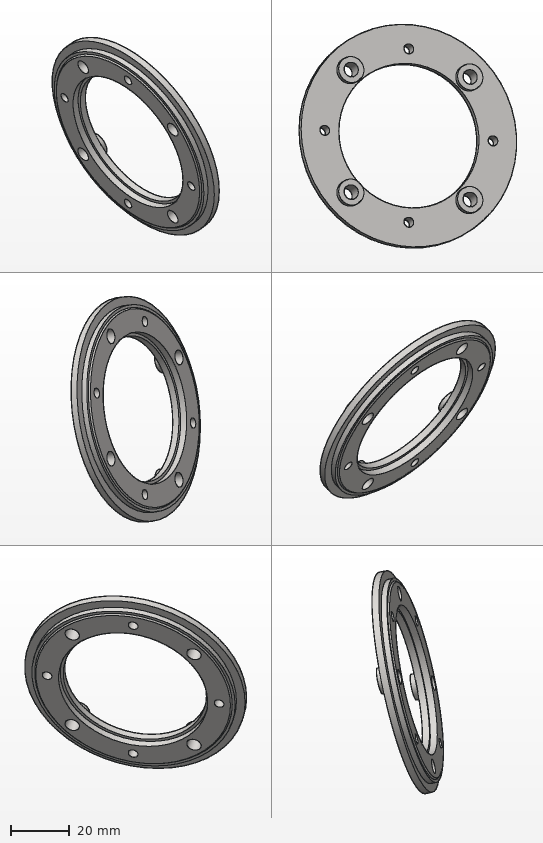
import cadquery as cq

flange_diameter = 77.0
flange_thickness = 2.5
step_diameter = 71.0
step_thickness = 2.0
lip_base_diameter = 69.0
lip_face_diameter = 68.0
lip_thickness = 0.55
bore_diameter = 50.0
recess_diameter = 52.05
recess_depth = 2.5

hole_circle_radius = 30.0
small_hole_diameter = 3.4
boss_hole_diameter = 5.0
boss_diameter = 9.0
boss_height = 2.0
hole_count = 4

step_back_y = -flange_thickness
lip_base_y = step_back_y - step_thickness
front_y = lip_base_y - lip_thickness
total_depth = boss_height - front_y


def ring_body():
    """Stepped ring with a tapered lip and a recessed bore, revolved about Y."""
    profile = [
        (bore_diameter / 2, 0),
        (flange_diameter / 2, 0),
        (flange_diameter / 2, step_back_y),
        (step_diameter / 2, step_back_y),
        (step_diameter / 2, lip_base_y),
        (lip_base_diameter / 2, lip_base_y),
        (lip_face_diameter / 2, front_y),
        (recess_diameter / 2, front_y),
        (recess_diameter / 2, front_y + recess_depth),
        (bore_diameter / 2, front_y + recess_depth),
    ]
    return cq.Workplane("XY").polyline(profile).close().revolve(360, (0, 0, 0), (0, 1, 0))


def cylinders(diameter, start_y, length, start_angle):
    """Equally spaced cylinders on the hole circle, running toward +Y from start_y."""
    return (
        cq.Workplane("XZ", origin=(0, start_y, 0))
        .polarArray(hole_circle_radius, start_angle, 360, hole_count)
        .circle(diameter / 2)
        .extrude(-length)
    )


bosses = cylinders(boss_diameter, step_back_y, flange_thickness + boss_height, 45)
boss_holes = cylinders(boss_hole_diameter, front_y, total_depth, 45)
small_holes = cylinders(small_hole_diameter, front_y, total_depth, 0)

result = ring_body().union(bosses).cut(boss_holes).cut(small_holes)